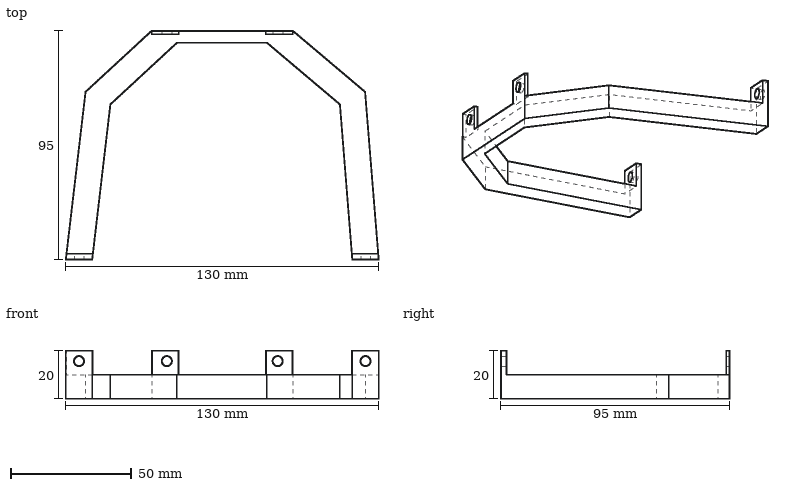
import cadquery as cq

WIDTH = 130.0
DEPTH = 95.0
BAND_HEIGHT = 10.0
TAB_TOP = 20.0

LEG_END_WIDTH = 11.05
REAR_BAR_DEPTH = 5.0
INNER_REAR_Y = DEPTH - REAR_BAR_DEPTH

OUTER_REAR_INSET = 35.65
OUTER_REAR_LEFT_X = OUTER_REAR_INSET
OUTER_REAR_RIGHT_X = WIDTH - OUTER_REAR_INSET

OUTER_BEND_Y = 69.65
OUTER_BEND_LEFT_X = 8.2
OUTER_BEND_RIGHT_X = 124.35
INNER_BEND_Y = 64.45
INNER_BEND_LEFT_X = 18.6
INNER_BEND_RIGHT_X = 113.8
INNER_REAR_LEFT_X = 46.2
INNER_REAR_RIGHT_X = 83.55

FRONT_TAB_THICKNESS = 2.45
REAR_TAB_THICKNESS = 1.5
REAR_TAB_WIDTH = 11.1
REAR_TAB_INSET = 35.8
REAR_TAB_Y = DEPTH - REAR_TAB_THICKNESS
REAR_TAB_LEFT_XS = (REAR_TAB_INSET, WIDTH - REAR_TAB_INSET - REAR_TAB_WIDTH)

HOLE_DIAMETER = 4.1
HOLE_Z = 15.65
FRONT_HOLE_INSET = LEG_END_WIDTH / 2
REAR_HOLE_INSET = 42.0


def band_prism(height):
    """Bent band in plan, open toward -Y, raised from Z = 0."""
    outline = [
        (0, 0),
        (OUTER_BEND_LEFT_X, OUTER_BEND_Y),
        (OUTER_REAR_LEFT_X, DEPTH),
        (OUTER_REAR_RIGHT_X, DEPTH),
        (OUTER_BEND_RIGHT_X, OUTER_BEND_Y),
        (WIDTH, 0),
        (WIDTH - LEG_END_WIDTH, 0),
        (INNER_BEND_RIGHT_X, INNER_BEND_Y),
        (INNER_REAR_RIGHT_X, INNER_REAR_Y),
        (INNER_REAR_LEFT_X, INNER_REAR_Y),
        (INNER_BEND_LEFT_X, INNER_BEND_Y),
        (LEG_END_WIDTH, 0),
    ]
    return cq.Workplane("XY").polyline(outline).close().extrude(height)


def front_tabs():
    """Leg ends carried up to the tab height, keeping the slant of the legs."""
    end_slab = cq.Workplane("XY").box(WIDTH, FRONT_TAB_THICKNESS, TAB_TOP, centered=False)
    return band_prism(TAB_TOP).intersect(end_slab)


def rear_tab(left_x):
    """Upright plate standing on the band, flush with its rear face."""
    return (
        cq.Workplane("XY", origin=(left_x, REAR_TAB_Y, BAND_HEIGHT))
        .box(REAR_TAB_WIDTH, REAR_TAB_THICKNESS, TAB_TOP - BAND_HEIGHT, centered=False)
    )


def hole_pair(inset, start_y, length):
    """Two cylinders along +Y, the same distance in from each side of the part."""
    centers = [(inset, HOLE_Z), (WIDTH - inset, HOLE_Z)]
    return (
        cq.Workplane("XZ", origin=(0, start_y, 0))
        .pushPoints(centers)
        .circle(HOLE_DIAMETER / 2)
        .extrude(-length)
    )


part = band_prism(BAND_HEIGHT).union(front_tabs())
for tab_left_x in REAR_TAB_LEFT_XS:
    part = part.union(rear_tab(tab_left_x))

part = part.cut(hole_pair(FRONT_HOLE_INSET, 0, FRONT_TAB_THICKNESS))
result = part.cut(hole_pair(REAR_HOLE_INSET, REAR_TAB_Y, REAR_TAB_THICKNESS))